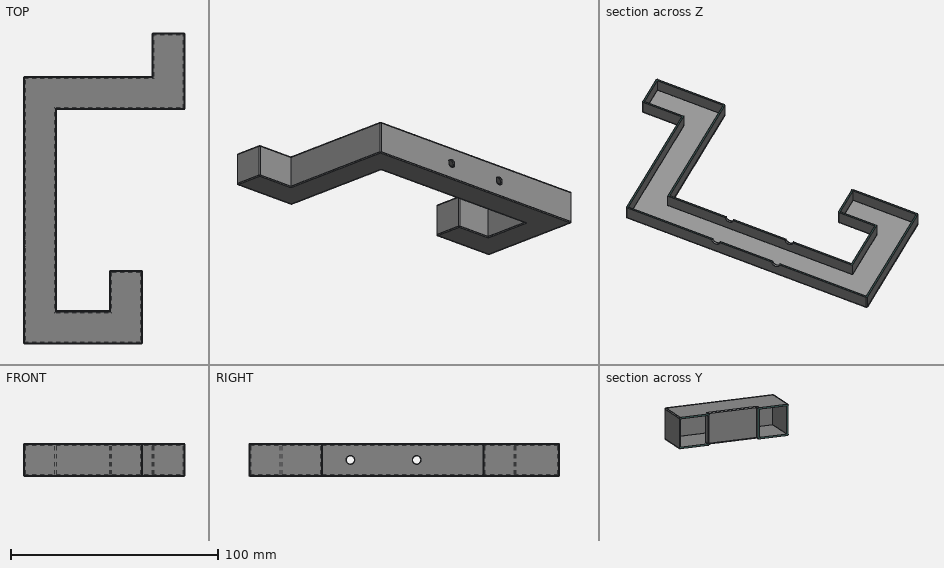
import cadquery as cq

bar = 16.0
total_width = 78.0
total_length = 150.0

lower_width = 57.5
lower_prong_top = 35.5
upper_prong_rise = 21.0
wall = 1.0
edge_chamfer = 0.5

hole_diameter = 4.0
hole_spacing = 32.0
hole_middle_y = 65.0

upper_arm_top = total_length - upper_prong_rise
upper_arm_bottom = upper_arm_top - bar
upper_prong_left = total_width - bar
lower_prong_left = lower_width - bar

outline = [
    (0, 0),
    (lower_width, 0),
    (lower_width, lower_prong_top),
    (lower_prong_left, lower_prong_top),
    (lower_prong_left, bar),
    (bar, bar),
    (bar, upper_arm_bottom),
    (total_width, upper_arm_bottom),
    (total_width, total_length),
    (upper_prong_left, total_length),
    (upper_prong_left, upper_arm_top),
    (0, upper_arm_top),
]
inside_bends = [
    (lower_prong_left, bar),
    (bar, bar),
    (bar, upper_arm_bottom),
    (upper_prong_left, upper_arm_top),
]


def hook_body():
    """Extrude the bent-bar outline, with its outer corner at the origin."""
    return cq.Workplane("XY").polyline(outline).close().extrude(bar)


def break_edges(body):
    """Chamfer both rims and the outside corners, leaving the inside bends sharp."""
    edges = body.faces("|Z").edges()
    for x, y in outline:
        if (x, y) not in inside_bends:
            corner = cq.selectors.NearestToPointSelector((x, y, bar / 2))
            edges = edges.add(body.edges(corner))
    return edges.chamfer(edge_chamfer)


def cavity():
    """Closed hollow that follows the bar, one wall thickness inside every face."""
    section = cq.Workplane("XY").workplane(offset=wall).polyline(outline).close()
    return section.offset2D(-wall, "intersection").extrude(bar - 2 * wall)


def screw_holes():
    """Two cylinders along X that pass through both walls of the spine."""
    half_spacing = hole_spacing / 2
    centers = [
        (hole_middle_y - half_spacing, bar / 2),
        (hole_middle_y + half_spacing, bar / 2),
    ]
    return cq.Workplane("YZ").pushPoints(centers).circle(hole_diameter / 2).extrude(bar)


result = break_edges(hook_body()).cut(cavity()).cut(screw_holes())